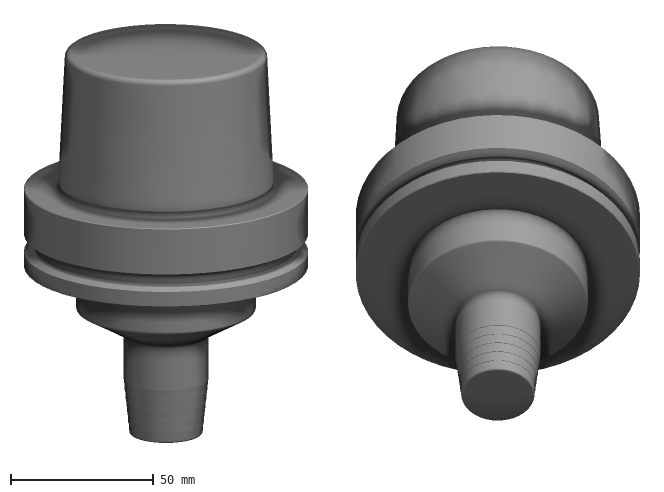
import cadquery as cq

total_height = 139.9
flange_bottom = 61.1
flange_top = 90.0

flange_diameter = 100.0
flange_radius = flange_diameter / 2
flange_edge_chamfer = 0.3
groove_floor_radius = 46.0
groove_bottom = flange_bottom + 6.9
groove_top = flange_bottom + 10.6
groove_fillet = 0.7
lower_bevel_width = 1.8
lower_bevel_height = 1.3
upper_bevel_width = 2.8
upper_bevel_height = 1.4

plug_tip_radius = 35.5
plug_base_radius = 37.9
plug_tip_fillet = 2.0
plug_base_height = flange_top + 2.7
neck_radius = 37.6
neck_top = flange_top + 1.8
neck_fillet = 1.5

collar_radius = 31.6
collar_bottom = 45.7
shank_radius = 15.0
shank_top = 36.4
cone_fillet = 1.1

step_count = 5
tip_length = 20.0
step_height = tip_length / step_count
step_ledge = 0.1
step_taper = 0.3
tip_fillet = 0.7


def make_holder():
    """Plug, neck and grooved flange, turned about the Z axis."""
    blank = (
        cq.Workplane("XZ")
        .moveTo(0, flange_bottom)
        .lineTo(flange_radius, flange_bottom)
        .lineTo(flange_radius, flange_top)
        .lineTo(neck_radius + neck_fillet, flange_top)
        .radiusArc((neck_radius, flange_top + neck_fillet), neck_fillet)
        .lineTo(neck_radius, neck_top)
        .lineTo(plug_base_radius, plug_base_height)
        .lineTo(plug_tip_radius, total_height)
        .lineTo(0, total_height)
        .close()
        .revolve(360, (0, 0), (0, 1))
    )
    rounded = blank.faces(">Z").edges().fillet(plug_tip_fillet)
    flange_rims = rounded.edges(cq.selectors.RadiusNthSelector(-1))
    return flange_rims.chamfer(flange_edge_chamfer).cut(make_groove())


def make_groove():
    """Ring removed from the flange: filleted floor and a bevel on each lip."""
    floor_corner = groove_floor_radius + groove_fillet
    return (
        cq.Workplane("XZ")
        .moveTo(flange_radius, groove_bottom - lower_bevel_height)
        .lineTo(flange_radius - lower_bevel_width, groove_bottom)
        .lineTo(floor_corner, groove_bottom)
        .radiusArc((groove_floor_radius, groove_bottom + groove_fillet), groove_fillet)
        .lineTo(groove_floor_radius, groove_top - groove_fillet)
        .radiusArc((floor_corner, groove_top), groove_fillet)
        .lineTo(flange_radius - upper_bevel_width, groove_top)
        .lineTo(flange_radius, groove_top + upper_bevel_height)
        .close()
        .revolve(360, (0, 0), (0, 1))
    )


def make_nose():
    """Collar, cone, shank and stepped tip, turned about the Z axis."""
    upper = (
        cq.Workplane("XZ")
        .moveTo(0, tip_length)
        .lineTo(shank_radius, tip_length)
        .lineTo(shank_radius, shank_top)
        .lineTo(collar_radius, collar_bottom)
        .lineTo(collar_radius, flange_bottom)
        .lineTo(0, flange_bottom)
        .close()
        .revolve(360, (0, 0), (0, 1))
        .faces("%CONE")
        .edges("%CIRCLE")
        .fillet(cone_fillet)
    )
    return upper.union(make_stepped_tip())


def make_stepped_tip():
    """Short tapered steps, each smaller than the one above it."""
    radius = shank_radius
    height = tip_length
    profile = cq.Workplane("XZ").moveTo(0, tip_length)
    for _ in range(step_count):
        radius -= step_ledge
        profile = profile.lineTo(radius, height)
        radius -= step_taper
        height -= step_height
        profile = profile.lineTo(radius, height)
    tip = profile.lineTo(0, 0).close().revolve(360, (0, 0), (0, 1))
    return tip.faces("<Z").edges().fillet(tip_fillet)


holder = make_holder()
nose = make_nose()

result = cq.Compound.makeCompound([holder.val(), nose.val()])